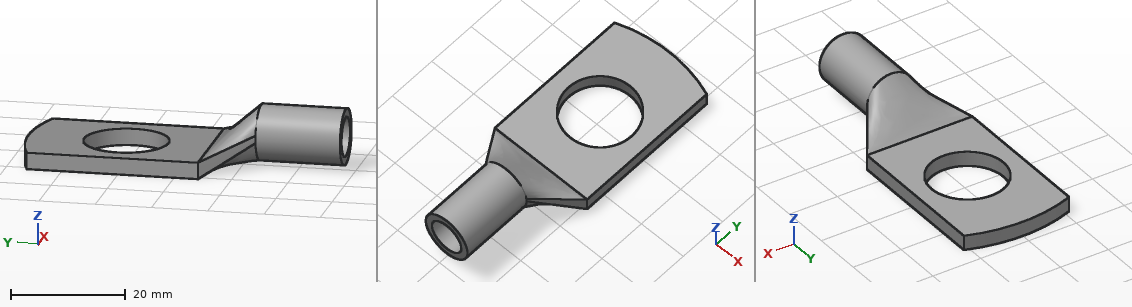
import cadquery as cq

total_length = 56.4
palm_width = 22.0
total_height = 11.0

palm_thickness = 3.0
tip_bow = 2.05
bolt_hole_diameter = 15.0
bolt_hole_from_tip = 17.45

barrel_diameter = 10.0
bore_diameter = 7.0
barrel_length = 15.0
barrel_axis_z = total_height - barrel_diameter / 2

neck_length = 8.95
palm_start = barrel_length + neck_length


def make_palm():
    half_width = palm_width / 2
    shoulder = total_length - tip_bow
    blank = (
        cq.Workplane("XY")
        .moveTo(-half_width, palm_start)
        .lineTo(half_width, palm_start)
        .lineTo(half_width, shoulder)
        .threePointArc((0, total_length), (-half_width, shoulder))
        .close()
        .extrude(palm_thickness)
    )
    bolt_hole = (
        cq.Workplane("XY")
        .center(0, total_length - bolt_hole_from_tip)
        .circle(bolt_hole_diameter / 2)
        .extrude(palm_thickness)
    )
    return blank.cut(bolt_hole)


def make_cylinder(diameter):
    return (
        cq.Workplane("XZ")
        .center(0, barrel_axis_z)
        .circle(diameter / 2)
        .extrude(-barrel_length)
    )


def make_neck():
    """Blend the round end of the barrel into the rectangular end of the palm."""
    return (
        cq.Workplane("XZ", origin=(0, barrel_length, 0))
        .center(0, barrel_axis_z)
        .circle(barrel_diameter / 2)
        .workplane(offset=-neck_length)
        .center(0, palm_thickness / 2 - barrel_axis_z)
        .rect(palm_width, palm_thickness)
        .loft(ruled=False, combine=True)
    )


barrel = make_cylinder(barrel_diameter).cut(make_cylinder(bore_diameter))
result = make_palm().union(make_neck()).union(barrel)